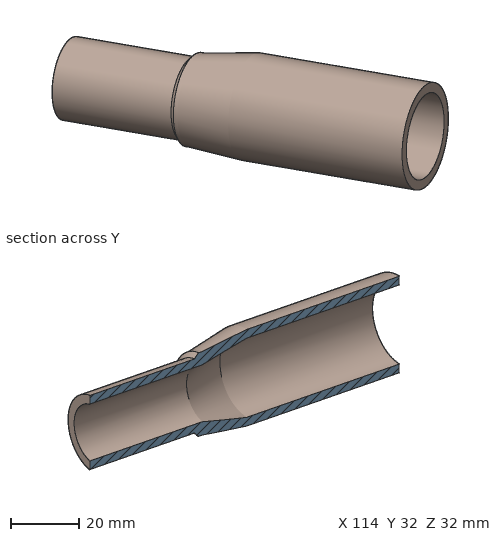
import cadquery as cq

total_length = 114.0
sleeve_diameter = 32.0
sleeve_bore = 26.0
collar_diameter = 28.0
pipe_diameter = 25.0
pipe_bore = 19.0

pipe_length = 38.5
chamfer_length = 1.5
collar_length = 1.4
cone_length = 16.4

pipe_offset = -(sleeve_diameter - collar_diameter) / 2

pipe_end = -total_length / 2
chamfer_start = pipe_end + pipe_length
collar_start = chamfer_start + chamfer_length
cone_start = collar_start + collar_length
sleeve_start = cone_start + cone_length
sleeve_end = total_length / 2


def section(x_start, start_diameter, start_y, x_end, end_diameter, end_y):
    """Solid between two circles that lie across X."""
    return (
        cq.Workplane("YZ", origin=(x_start, 0, 0))
        .center(start_y, 0)
        .circle(start_diameter / 2)
        .workplane(offset=x_end - x_start)
        .center(end_y - start_y, 0)
        .circle(end_diameter / 2)
        .loft(ruled=True, combine=True)
    )


def cylinder(x_start, x_end, diameter, y):
    return section(x_start, diameter, y, x_end, diameter, y)


pipe = cylinder(pipe_end, chamfer_start, pipe_diameter, pipe_offset)
chamfer = section(chamfer_start, pipe_diameter, pipe_offset, collar_start, collar_diameter, pipe_offset)
collar = cylinder(collar_start, cone_start, collar_diameter, pipe_offset)
cone = section(cone_start, collar_diameter, pipe_offset, sleeve_start, sleeve_diameter, 0)
sleeve = cylinder(sleeve_start, sleeve_end, sleeve_diameter, 0)
body = pipe.union(chamfer).union(collar).union(cone).union(sleeve)

pipe_hole = cylinder(pipe_end, cone_start, pipe_bore, pipe_offset)
cone_hole = section(cone_start, pipe_bore, pipe_offset, sleeve_start, sleeve_bore, 0)
sleeve_hole = cylinder(sleeve_start, sleeve_end, sleeve_bore, 0)

result = body.cut(pipe_hole).cut(cone_hole).cut(sleeve_hole)